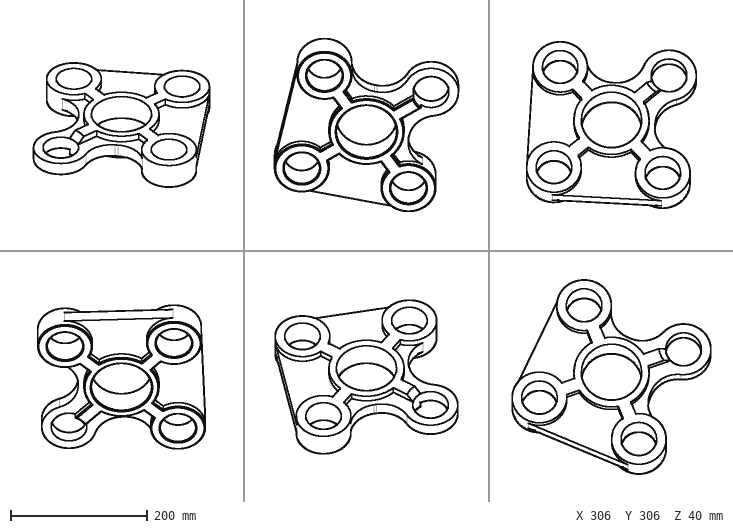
import cadquery as cq
import math

overall_size = 306.0
boss_radius = 40.0
boss_hole_radius = 26.0
boss_offset = overall_size / 2 - boss_radius
height = 40.0

ring_radius = 55.0
ring_hole_radius = 44.0
rib_width = 20.0
bottom_chamfer = 1.5

web_thickness = 20.0
web_bottom = (height - web_thickness) / 2
web_top = web_bottom + web_thickness
relief_radius = 42.0
relief_flat_distance = 63.5

west = (-boss_offset, 0)
east = (boss_offset, 0)
north = (0, boss_offset)
south = (0, -boss_offset)


def polar(center, radius, angle):
    """Point at an angle in degrees on a circle."""
    a = math.radians(angle)
    return (center[0] + radius * math.cos(a), center[1] + radius * math.sin(a))


def mirror_x(point):
    return (-point[0], point[1])


def swap_diagonal(point):
    """Exchange the west and south sides of the outline."""
    return (point[1], point[0])


def cylinder(center, radius, bottom, top):
    return cq.Workplane("XY", origin=(*center, bottom)).circle(radius).extrude(top - bottom)


def make_web():
    diagonal_boss = boss_offset / math.sqrt(2)
    center_along = relief_flat_distance + relief_radius
    center_gap = boss_radius + relief_radius
    along = center_along - diagonal_boss
    across = math.sqrt(center_gap**2 - along**2) - diagonal_boss
    shift = -across
    arc_center = ((-center_along + shift) / math.sqrt(2), (-center_along - shift) / math.sqrt(2))

    boss_angle = math.degrees(math.atan2(arc_center[1] - south[1], arc_center[0] - south[0]))
    on_boss = polar(south, boss_radius, boss_angle)
    on_flat = polar(arc_center, relief_radius, 45)
    arc_mid = polar(arc_center, relief_radius, (boss_angle - 180 + 45) / 2)

    north_left = polar(north, boss_radius, 135)
    west_upper = polar(west, boss_radius, 135)
    west_outer = polar(west, boss_radius, 180)
    south_outer = polar(south, boss_radius, 270)
    outline = (
        cq.Workplane("XY", origin=(0, 0, web_bottom))
        .moveTo(*north_left)
        .lineTo(*west_upper)
        .threePointArc(west_outer, swap_diagonal(on_boss))
        .threePointArc(swap_diagonal(arc_mid), swap_diagonal(on_flat))
        .lineTo(*on_flat)
        .threePointArc(arc_mid, on_boss)
        .threePointArc(south_outer, mirror_x(on_boss))
        .threePointArc(mirror_x(arc_mid), mirror_x(on_flat))
        .lineTo(*mirror_x(swap_diagonal(on_flat)))
        .threePointArc(mirror_x(swap_diagonal(arc_mid)), mirror_x(swap_diagonal(on_boss)))
        .threePointArc(mirror_x(west_outer), mirror_x(west_upper))
        .lineTo(*mirror_x(north_left))
        .threePointArc(polar(north, boss_radius, 90), north_left)
        .close()
    )
    return outline.extrude(web_thickness)


def make_frame():
    """Full-height ring, three bosses and four ribs."""
    frame = cylinder((0, 0), ring_radius, 0, height)
    for center in (west, east, north):
        frame = frame.union(cylinder(center, boss_radius, 0, height))
    for length, width in ((2 * boss_offset, rib_width), (rib_width, 2 * boss_offset)):
        frame = frame.union(cq.Workplane("XY").rect(length, width).extrude(height))
    return frame


def make_south_rib_bevel():
    """Cone, coaxial with the low boss, that slopes the end of its rib."""
    rise = height - web_top
    return cq.Workplane(
        cq.Solid.makeCone(
            boss_hole_radius, boss_hole_radius + rise, rise, pnt=cq.Vector(*south, web_top)
        )
    )


result = make_frame().union(make_web()).cut(make_south_rib_bevel())
result = result.cut(cylinder((0, 0), ring_hole_radius, 0, height))
for boss in (west, east, north, south):
    result = result.cut(cylinder(boss, boss_hole_radius, 0, height))

result = result.faces("<Z").edges().chamfer(bottom_chamfer)